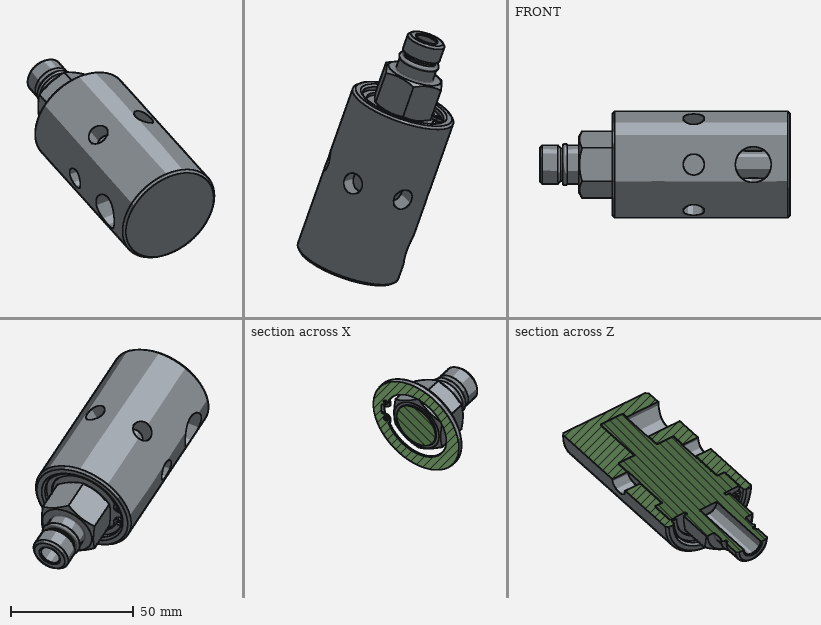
import cadquery as cq
import math


OVERALL_LENGTH = 102.4
OVERCUT = 1.0

HOUSING_START = 29.7
HOUSING_RADIUS = 43.7 / 2
HOUSING_CHAMFER = 1.0

MOUTH_RADIUS = 37.3 / 2
MOUTH_CHAMFER_LENGTH = 0.8
RECESS_RADIUS = 35.1 / 2
RING_DEPTH = 2.3
RING_THICKNESS = 1.2
RING_INNER_RADIUS = 30.5 / 2
LUG_RADIUS = 2.3
LUG_HOLE_RADIUS = 1.9 / 2
LUG_HOLE_Y = -15.5
LUG_HOLE_Z = 4.6
RING_GAP = 2 * (LUG_HOLE_Z - LUG_RADIUS)

RADIAL_HOLE_COUNT = 6
RADIAL_HOLE_RADIUS = 8.6 / 2
RADIAL_HOLE_X = 63.0
PORT_X = 87.3
PORT_RADIUS = 14.6 / 2
PORT_TIP_ANGLE = 118.0

NOSE_RADIUS = 16.0 / 2
NOSE_CHAMFER = 1.0
NOSE_TIP_LENGTH = 7.3
NECK_RADIUS = 13.5 / 2
NECK_START = NOSE_TIP_LENGTH + NOSE_RADIUS - NECK_RADIUS
COLLAR_START = 9.3
COLLAR_END = 11.3
COLLAR_RADIUS = 17.1 / 2
COLLAR_ROUND = (COLLAR_END - COLLAR_START) / 2
COLLAR_MIDDLE = COLLAR_START + COLLAR_ROUND
NOSE_ROOT_FILLET = 0.2
BORE_RADIUS = 8.5 / 2
BORE_CHAMFER = 0.5
BORE_DEPTH = 30.7

HEX_START = 15.9
HEX_FLATS = 23.8
HEX_CORNER_RADIUS = HEX_FLATS / math.sqrt(3)
HEX_FACE_RADIUS = 22.6 / 2
HEX_CHAMFER_ANGLE = 30.0
HEX_CHAMFER_LENGTH = (HEX_CORNER_RADIUS - HEX_FACE_RADIUS) * math.tan(math.radians(HEX_CHAMFER_ANGLE))
HEX_LENGTH = 16.2
HEX_END = HEX_START + HEX_LENGTH
HEX_NECK_RADIUS = 19.9 / 2

FLANGE_START = HOUSING_START + RING_DEPTH + RING_THICKNESS
FLANGE_LENGTH = 10.2
FLANGE_END = FLANGE_START + FLANGE_LENGTH
BODY_RADIUS = 27.9 / 2
BODY_END = 73.7
TAIL_RADIUS = 11.2 / 2
TAIL_END = 97.3


def rod(start, end, radius):
    """Cylinder on the X axis between two X positions."""
    return cq.Workplane("YZ", origin=(start, 0, 0)).circle(radius).extrude(end - start)


def turned(points):
    """Solid of revolution about the X axis from (x, radius) points."""
    return cq.Workplane("XY").polyline(points).close().revolve(360, (0, 0, 0), (1, 0, 0))


def spindle_core():
    """Stepped part of the spindle that fills the inside of the housing."""
    flange = rod(FLANGE_START, FLANGE_END, RECESS_RADIUS)
    body = rod(FLANGE_END, BODY_END, BODY_RADIUS)
    tail = rod(BODY_END, TAIL_END, TAIL_RADIUS)
    return flange.union(body).union(tail)


def collar():
    """Thin collar with a fully rounded rim, standing between the neck and the rear of the nose."""
    round_centre = COLLAR_RADIUS - COLLAR_ROUND
    return (
        cq.Workplane("XY")
        .moveTo(COLLAR_START, 0)
        .lineTo(COLLAR_START, round_centre)
        .threePointArc((COLLAR_MIDDLE, COLLAR_RADIUS), (COLLAR_END, round_centre))
        .lineTo(COLLAR_END, 0)
        .close()
        .revolve(360, (0, 0, 0), (1, 0, 0))
    )


def spindle_nose():
    """Plug end with a chamfered tip, a tapered neck, a collar and a small fillet at the hexagon."""
    fillet_start = HEX_START - NOSE_ROOT_FILLET
    fillet_top = NOSE_RADIUS + NOSE_ROOT_FILLET
    sag = NOSE_ROOT_FILLET * math.sqrt(0.5)
    plug = (
        cq.Workplane("XY")
        .polyline([
            (0, 0),
            (0, NOSE_RADIUS - NOSE_CHAMFER),
            (NOSE_CHAMFER, NOSE_RADIUS),
            (NOSE_TIP_LENGTH, NOSE_RADIUS),
            (NECK_START, NECK_RADIUS),
            (COLLAR_MIDDLE, NECK_RADIUS),
            (COLLAR_MIDDLE, NOSE_RADIUS),
            (fillet_start, NOSE_RADIUS),
        ])
        .threePointArc((fillet_start + sag, fillet_top - sag), (HEX_START, fillet_top))
        .lineTo(HEX_START, 0)
        .close()
        .revolve(360, (0, 0, 0), (1, 0, 0))
    )
    return plug.union(collar())


def hexagon():
    """Wrench hexagon, corners up and down, with a conical chamfer on both faces."""
    prism = (
        cq.Workplane("YZ", origin=(HEX_START, 0, 0))
        .polygon(6, 2 * HEX_CORNER_RADIUS)
        .extrude(HEX_LENGTH)
        .rotate((0, 0, 0), (1, 0, 0), 90)
    )
    envelope = turned([
        (HEX_START, 0),
        (HEX_START, HEX_FACE_RADIUS),
        (HEX_START + HEX_CHAMFER_LENGTH, HEX_CORNER_RADIUS),
        (HEX_END - HEX_CHAMFER_LENGTH, HEX_CORNER_RADIUS),
        (HEX_END, HEX_FACE_RADIUS),
        (HEX_END, 0),
    ])
    return prism.intersect(envelope)


def spindle_bore():
    """Blind bore from the tip, with a chamfered mouth."""
    return turned([
        (0, 0),
        (0, BORE_RADIUS + BORE_CHAMFER),
        (BORE_CHAMFER, BORE_RADIUS),
        (BORE_DEPTH, BORE_RADIUS),
        (BORE_DEPTH, 0),
    ])


def make_spindle():
    hex_neck = rod(HEX_END, FLANGE_START, HEX_NECK_RADIUS)
    outside = spindle_nose().union(hexagon()).union(hex_neck)
    return outside.union(spindle_core()).cut(spindle_bore())


def mouth():
    """Recess in the open end of the housing, with a chamfered edge."""
    return turned([
        (HOUSING_START, 0),
        (HOUSING_START, MOUTH_RADIUS),
        (HOUSING_START + MOUTH_CHAMFER_LENGTH, RECESS_RADIUS),
        (FLANGE_START, RECESS_RADIUS),
        (FLANGE_START, 0),
    ])


def retaining_ring():
    """Open ring with two round lugs, each with a plier hole, beside the gap on the -Y side."""
    plane = cq.Workplane("YZ", origin=(HOUSING_START + RING_DEPTH, 0, 0))
    lug_centres = [(LUG_HOLE_Y, LUG_HOLE_Z), (LUG_HOLE_Y, -LUG_HOLE_Z)]
    disc = plane.circle(RECESS_RADIUS).extrude(RING_THICKNESS)
    band = disc.cut(plane.circle(RING_INNER_RADIUS).extrude(RING_THICKNESS))
    lugs = plane.pushPoints(lug_centres).circle(LUG_RADIUS).extrude(RING_THICKNESS)
    gap = (
        plane.center(-RECESS_RADIUS, 0)
        .rect(RECESS_RADIUS, RING_GAP)
        .extrude(RING_THICKNESS)
    )
    holes = plane.pushPoints(lug_centres).circle(LUG_HOLE_RADIUS).extrude(RING_THICKNESS)
    return band.union(lugs.intersect(disc)).cut(gap).cut(holes)


def radial_hole(index):
    """One hole from the outside of the housing down to the spindle body."""
    hole = cq.Workplane("XZ", origin=(RADIAL_HOLE_X, 0, 0)).circle(RADIAL_HOLE_RADIUS)
    angle = index * 360 / RADIAL_HOLE_COUNT
    return hole.extrude(HOUSING_RADIUS + OVERCUT).rotate((0, 0, 0), (1, 0, 0), angle)


def side_port():
    """Port drilled from -Y to the axis, with a drill-point end."""
    tip_length = PORT_RADIUS / math.tan(math.radians(PORT_TIP_ANGLE / 2))
    outside_y = -HOUSING_RADIUS - OVERCUT
    return (
        cq.Workplane("XY", origin=(PORT_X, 0, 0))
        .polyline([
            (0, tip_length),
            (PORT_RADIUS, 0),
            (PORT_RADIUS, outside_y),
            (0, outside_y),
        ])
        .close()
        .revolve(360, (0, 0, 0), (0, 1, 0))
    )


def make_housing():
    shell = rod(HOUSING_START, OVERALL_LENGTH, HOUSING_RADIUS).edges().chamfer(HOUSING_CHAMFER)
    shell = shell.cut(mouth()).union(retaining_ring()).cut(side_port())
    for index in range(RADIAL_HOLE_COUNT):
        shell = shell.cut(radial_hole(index))
    return shell.cut(spindle_core())


housing = make_housing()
spindle = make_spindle()

result = cq.Compound.makeCompound([housing.solids().val(), spindle.solids().val()])